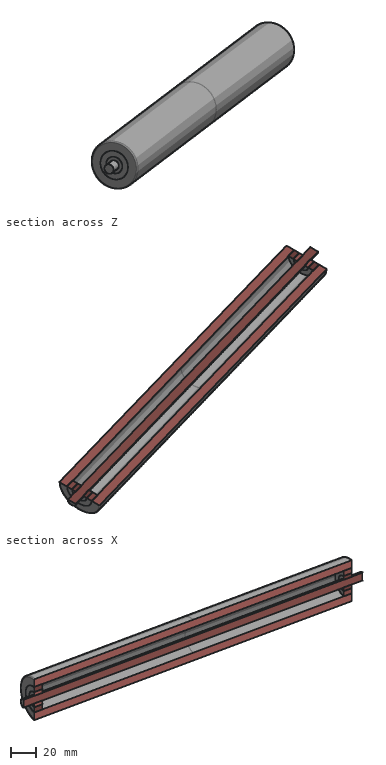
import cadquery as cq

roller_length = 300.0
roller_diameter = 40.0
rim_fillet = 1.0
shaft_diameter = 8.0
shaft_stub = 10.0
race_boundary_diameter = 14.0
bearing_diameter = 24.0
bearing_width = 8.0

shaft_length = roller_length + 2 * shaft_stub
bearing_centre = (roller_length - bearing_width) / 2


def cylinder(diameter, length, y_centre=0.0):
    """Solid cylinder on the Y axis, centred at the given Y position."""
    plane = cq.Workplane("XZ", origin=(0, y_centre, 0))
    return plane.circle(diameter / 2).extrude(length / 2, both=True)


def ring(outer_diameter, inner_diameter, length, y_centre=0.0):
    """Hollow cylinder on the Y axis."""
    outer = cylinder(outer_diameter, length, y_centre)
    return outer.cut(cylinder(inner_diameter, length, y_centre))


def make_roller():
    """Tube with rounded outer rims, whose bore holds a bearing at each end."""
    body = cylinder(roller_diameter, roller_length).faces("<Y or >Y").edges().fillet(rim_fillet)
    return body.cut(cylinder(bearing_diameter, roller_length))


def make_shaft():
    """Plain shaft through both bearings, with a stub beyond each end of the roller."""
    return cylinder(shaft_diameter, shaft_length)


def make_outer_race(y_centre):
    """Bearing ring seated in the roller bore."""
    return ring(bearing_diameter, race_boundary_diameter, bearing_width, y_centre)


def make_inner_race(y_centre):
    """Bearing ring seated on the shaft."""
    return ring(race_boundary_diameter, shaft_diameter, bearing_width, y_centre)


roller = make_roller()
shaft = make_shaft()

races = []
for y_centre in (-bearing_centre, bearing_centre):
    races.append(make_outer_race(y_centre).val())
    races.append(make_inner_race(y_centre).val())

result = cq.Compound.makeCompound([roller.val(), shaft.val(), *races])